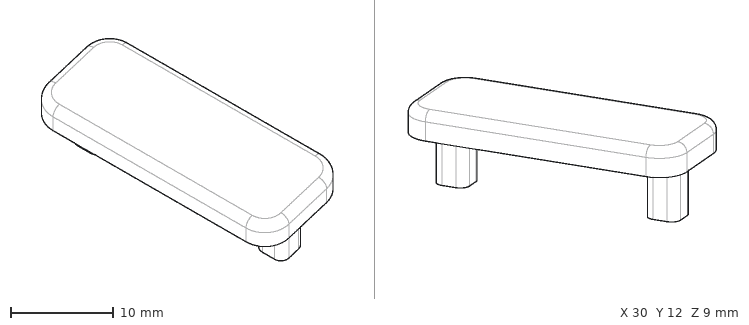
import cadquery as cq

plate_length = 30
plate_width = 12
plate_thickness = 3
plate_corner_radius = 3
top_edge_radius = 1.0

leg_side = 3.5
leg_corner_radius = 1.0
leg_height = 6
leg_spacing = 22.98


def make_plate():
    """Rounded plate resting on Z = 0, with a rounded top edge."""
    return (
        cq.Workplane("XY")
        .box(plate_length, plate_width, plate_thickness, centered=(True, True, False))
        .edges("|Z")
        .fillet(plate_corner_radius)
        .faces(">Z")
        .edges()
        .fillet(top_edge_radius)
    )


def make_leg(x_center):
    """Leg hanging below the plate on its long center line."""
    return (
        cq.Workplane("XY")
        .center(x_center, 0)
        .rect(leg_side, leg_side)
        .extrude(-leg_height)
        .edges("|Z")
        .fillet(leg_corner_radius)
    )


result = make_plate()
for side in (-1, 1):
    result = result.union(make_leg(side * leg_spacing / 2))